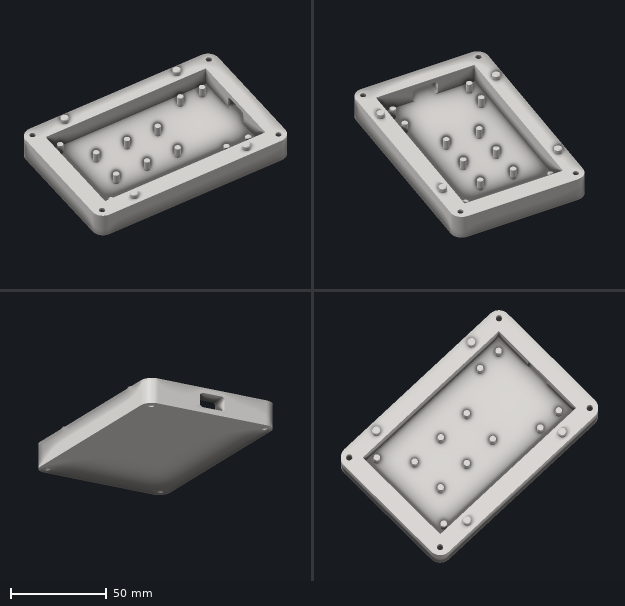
import cadquery as cq

width = 78.5
length = 119.5
body_height = 14.0
corner_radius = 6.5

rim = 10.0
floor_thickness = 3.0
pocket_width = width - 2 * rim
pocket_length = length - 2 * rim

fixing_inset = rim / 2
fixing_x = width / 2 - fixing_inset
screw_y = length / 2 - fixing_inset
screw_diameter = 3.3
pin_diameter = 4.5
pin_height = 3.0
pin_chamfer = 0.5
pin_y = 34.8

post_diameter = 3.3
post_height = 6.0
rear_post_x = 22.7
rear_post_rows = (43.3, 29.8)
middle_post_x = 9.8
middle_post_rows = (7.5, -11.5, -30.6)
front_post_x = 25.2
front_post_rows = (-43.3,)

opening_width = 15.0
opening_height = 8.0
opening_corner_radius = 2.0


def mirrored_pairs(x, rows):
    """Points at +x and -x on each row."""
    return [(side * x, y) for y in rows for side in (-1, 1)]


def make_body():
    body = (
        cq.Workplane("XY")
        .box(width, length, body_height, centered=(True, True, False))
        .edges("|Z")
        .fillet(corner_radius)
    )
    pocket = (
        cq.Workplane("XY", origin=(0, 0, floor_thickness))
        .rect(pocket_width, pocket_length)
        .extrude(body_height)
    )
    screw_holes = (
        cq.Workplane("XY")
        .pushPoints(mirrored_pairs(fixing_x, (screw_y, -screw_y)))
        .circle(screw_diameter / 2)
        .extrude(body_height)
    )
    return body.cut(pocket).cut(screw_holes)


def make_connector_opening():
    """Rounded rectangular cutter that spans the thickness of the rear wall."""
    return (
        cq.Workplane("XY", origin=(0, pocket_length / 2, floor_thickness))
        .box(opening_width, rim, opening_height, centered=(True, False, False))
        .edges("|Y")
        .fillet(opening_corner_radius)
    )


def make_posts():
    points = (
        mirrored_pairs(rear_post_x, rear_post_rows)
        + mirrored_pairs(middle_post_x, middle_post_rows)
        + mirrored_pairs(front_post_x, front_post_rows)
    )
    return (
        cq.Workplane("XY", origin=(0, 0, floor_thickness))
        .pushPoints(points)
        .circle(post_diameter / 2)
        .extrude(post_height)
    )


def make_pins():
    return (
        cq.Workplane("XY", origin=(0, 0, body_height))
        .pushPoints(mirrored_pairs(fixing_x, (pin_y, -pin_y)))
        .circle(pin_diameter / 2)
        .extrude(pin_height)
        .faces(">Z")
        .chamfer(pin_chamfer)
    )


result = make_body().cut(make_connector_opening()).union(make_posts()).union(make_pins())